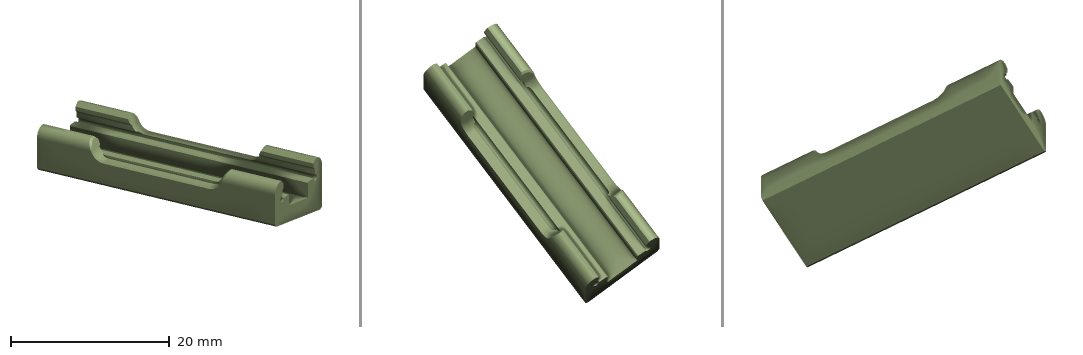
import cadquery as cq
import math

length = 35.0
width = 11.4
height = 7.42
half_width = width / 2

low_corner_y = 5.32
low_corner_side_z = 0.28
high_corner_y = -5.35
high_corner_z = 1.58
high_corner_side_z = 1.95
bottom_slope = high_corner_z / (low_corner_y - high_corner_y)
channel_half_width = 2.28
floor_z_at_center = 3.05

ledge_z = 4.9
ledge_chamfer = 0.15
groove_radius = 0.42
groove_center_y = 4.02
groove_center_z = 4.85

lip_radius = 1.35
lip_crest_y = half_width - lip_radius
lip_crest_flat = 0.18
lip_tip_y = 3.65
lip_tip_top_z = 6.9
lip_tip_bottom_z = 6.35
lip_neck_y = 3.95
lip_neck_z = 6.02

notch_end_margin = 7.52
notch_floor_z = 4.95
notch_wall_tilt = 24.0
notch_fillet = 1.82
notch_chamfer = 0.2


def channel_floor_z(y):
    return floor_z_at_center - bottom_slope * y


def make_rail():
    arc_mid = lip_radius * math.sqrt(0.5)
    lip_arc_z = height - lip_radius
    arc_mid_y = lip_crest_y + arc_mid
    arc_mid_z = lip_arc_z + arc_mid
    bevel_top_y = lip_crest_y - lip_crest_flat
    ledge_edge_y = channel_half_width + ledge_chamfer
    ledge_side_z = ledge_z - ledge_chamfer
    profile = (
        cq.Workplane("YZ", origin=(-length / 2, 0, 0))
        .moveTo(low_corner_y, 0)
        .lineTo(half_width, low_corner_side_z)
        .lineTo(half_width, lip_arc_z)
        .threePointArc((arc_mid_y, arc_mid_z), (lip_crest_y, height))
        .lineTo(bevel_top_y, height)
        .lineTo(lip_tip_y, lip_tip_top_z)
        .lineTo(lip_tip_y, lip_tip_bottom_z)
        .lineTo(lip_neck_y, lip_neck_z)
        .lineTo(lip_neck_y, ledge_z)
        .lineTo(ledge_edge_y, ledge_z)
        .lineTo(channel_half_width, ledge_side_z)
        .lineTo(channel_half_width, channel_floor_z(channel_half_width))
        .lineTo(-channel_half_width, channel_floor_z(-channel_half_width))
        .lineTo(-channel_half_width, ledge_side_z)
        .lineTo(-ledge_edge_y, ledge_z)
        .lineTo(-lip_neck_y, ledge_z)
        .lineTo(-lip_neck_y, lip_neck_z)
        .lineTo(-lip_tip_y, lip_tip_bottom_z)
        .lineTo(-lip_tip_y, lip_tip_top_z)
        .lineTo(-bevel_top_y, height)
        .lineTo(-lip_crest_y, height)
        .threePointArc((-arc_mid_y, arc_mid_z), (-half_width, lip_arc_z))
        .lineTo(-half_width, high_corner_side_z)
        .lineTo(high_corner_y, high_corner_z)
        .close()
    )
    return profile.extrude(length)


def make_grooves():
    return (
        cq.Workplane("YZ", origin=(-length / 2, 0, 0))
        .pushPoints([(side * groove_center_y, groove_center_z) for side in (-1, 1)])
        .circle(groove_radius)
        .extrude(length)
    )


def make_notch():
    top_half = length / 2 - notch_end_margin
    wall_run = (height - notch_floor_z) * math.tan(math.radians(notch_wall_tilt))
    floor_half = top_half - wall_run
    return (
        cq.Workplane("XZ", origin=(0, half_width, 0))
        .moveTo(-top_half, height)
        .lineTo(-floor_half, notch_floor_z)
        .lineTo(floor_half, notch_floor_z)
        .lineTo(top_half, height)
        .close()
        .extrude(width)
        .edges("|Y and (not >Z)")
        .fillet(notch_fillet)
    )


clearance = 0.05
outer_rim_box = cq.selectors.BoxSelector(
    (-length / 2 + clearance, -half_width - clearance, notch_floor_z - clearance),
    (length / 2 - clearance, -lip_crest_y - clearance, height - clearance),
)
rail = make_rail().cut(make_notch())
rail = rail.edges(outer_rim_box).chamfer(notch_chamfer)

result = rail.cut(make_grooves())